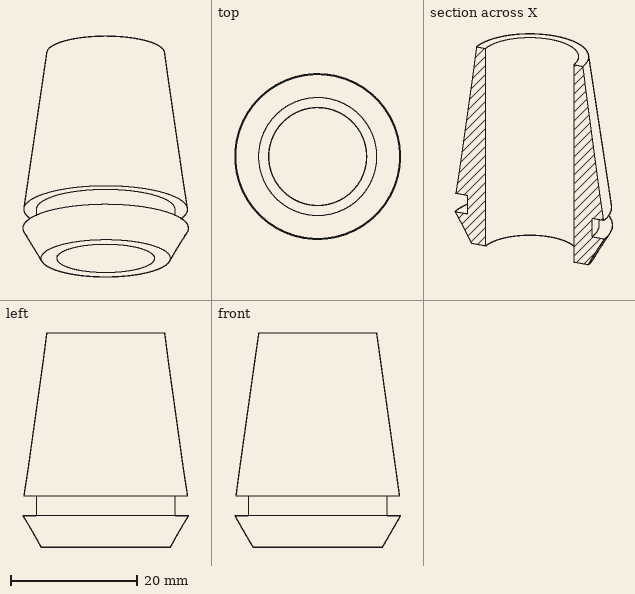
import cadquery as cq
import math

total_length = 34.0
flange_diameter = 26.3
flange_height = 5.0
flange_angle = 30.0
groove_diameter = 22.0
groove_width = 3.1
body_diameter = 26.0
body_angle = 8.0
bore_diameter = 15.5

flange_radius = flange_diameter / 2
groove_radius = groove_diameter / 2
body_radius = body_diameter / 2
body_base = flange_height + groove_width
nose_radius = flange_radius - flange_height * math.tan(math.radians(flange_angle))
top_radius = body_radius - (total_length - body_base) * math.tan(math.radians(body_angle))
bore_radius = bore_diameter / 2


def collet_body():
    """Turned collet: lower taper, groove, long taper and through bore."""
    half_section = (
        cq.Workplane("XZ")
        .moveTo(bore_radius, 0)
        .lineTo(nose_radius, 0)
        .lineTo(flange_radius, flange_height)
        .lineTo(groove_radius, flange_height)
        .lineTo(groove_radius, body_base)
        .lineTo(body_radius, body_base)
        .lineTo(top_radius, total_length)
        .lineTo(bore_radius, total_length)
        .close()
    )
    return half_section.revolve(360, (0, 0, 0), (0, 1, 0))


result = collet_body()